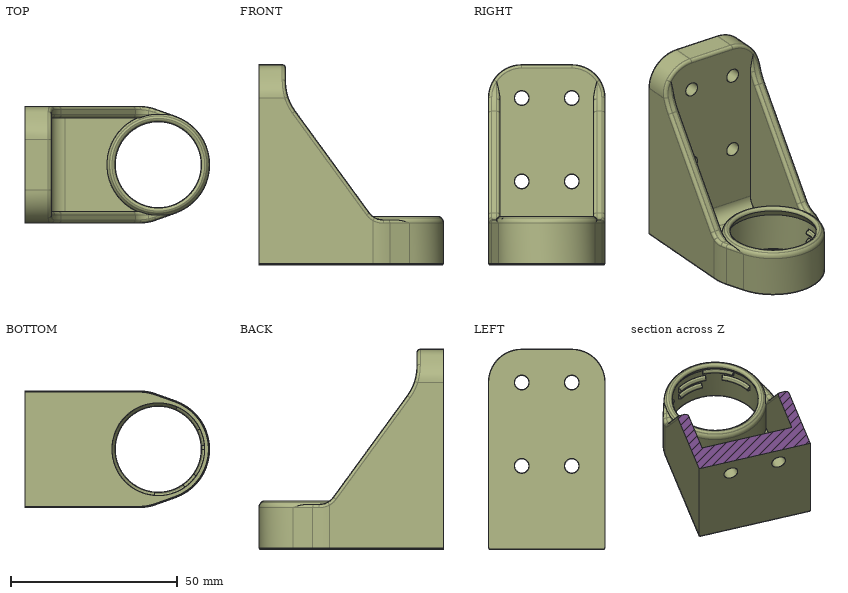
import cadquery as cq
import math

PLATE_WIDTH = 35.0
PLATE_HEIGHT = 60.0
PLATE_THICKNESS = 8.0
PLATE_CORNER_RADIUS = 10.0
HOLE_DIAMETER = 4.3
HOLE_SPACING_Y = 15.0
HOLE_HEIGHTS = (25.0, 50.0)

WALL_THICKNESS = 3.5
WALL_LOW_HEIGHT = 13.5
SLOPE_TOP_Z = 50.0
SLOPE_FOOT_X = 34.6
SLOPE_TOP_RADIUS = 15.0
SLOPE_FOOT_RADIUS = 5.0
FLOOR_THICKNESS = 3.0
FLOOR_FILLET = 4.0
EDGE_FILLET = 1.0
BASE_CHAMFER = 0.35

RING_X = 40.0
RING_RADIUS = 15.4
BORE_DIAMETER = 27.8
BORE_RADIUS = BORE_DIAMETER / 2
LIP_INNER_DIAMETER = 25.8
TAPER_X = 36.8
TAPER_BLEND_RADIUS = 15.0
RING_SHOULDER_Z = 12.5
RING_SHOULDER_RADIUS = 2.0
RING_SHOULDER_END_RADIUS = 14.65
LIP_INNER_RADIUS = LIP_INNER_DIAMETER / 2
LIP_ROUND = BORE_RADIUS - LIP_INNER_RADIUS
LIP_TOP_Z = 14.5
LIP_ROUND_Z = LIP_TOP_Z - LIP_ROUND
LIP_UNDERSIDE_Z = 11.6

RIB_TIP_RADIUS = LIP_INNER_RADIUS
RIB_HEIGHT = 2.0
RIB_SLOPE_DROP = 0.4
RIB_SLOPE_DEPTH = 0.6
RIB_ROOT_OVERLAP = 0.5
RIB_PITCH = 3.0
LOW_RIB_TOP = 6.4
MIDDLE_RIB_TOP = LOW_RIB_TOP + RIB_PITCH
HIGH_RIB_TOP = MIDDLE_RIB_TOP + RIB_PITCH
RIBS = (
    (LOW_RIB_TOP, 0.0, 35.0),
    (MIDDLE_RIB_TOP, -5.0, 35.0),
    (LOW_RIB_TOP, 55.0, 95.0),
    (MIDDLE_RIB_TOP, 55.0, 95.0),
    (HIGH_RIB_TOP, -41.0, -1.0),
    (MIDDLE_RIB_TOP, -66.0, -26.0),
)

HALF_WIDTH = PLATE_WIDTH / 2
POCKET_WIDTH = PLATE_WIDTH - 2 * WALL_THICKNESS


def make_half_footprint():
    """Plan outline of the +Y half: a straight side that tapers tangentially into the ring."""
    to_ring = RING_X - TAPER_X
    distance = math.hypot(to_ring, HALF_WIDTH)
    touch_angle = math.atan2(HALF_WIDTH, -to_ring) - math.acos(RING_RADIUS / distance)

    def ring_point(angle):
        return (RING_X + RING_RADIUS * math.cos(angle), RING_RADIUS * math.sin(angle))

    taper_corner = cq.NearestToPointSelector((TAPER_X, HALF_WIDTH, PLATE_HEIGHT / 2))
    return (
        cq.Workplane("XY")
        .lineTo(RING_X + RING_RADIUS, 0)
        .threePointArc(ring_point(touch_angle / 2), ring_point(touch_angle))
        .lineTo(TAPER_X, HALF_WIDTH)
        .lineTo(0, HALF_WIDTH)
        .close()
        .extrude(PLATE_HEIGHT)
        .edges("|Z")
        .edges(taper_corner)
        .fillet(TAPER_BLEND_RADIUS)
    )


def make_side_profile():
    """Side outline: upright plate, sloping wall and low wall around the ring."""
    reach = RING_X + RING_RADIUS
    profile = (
        cq.Workplane("XZ")
        .polyline(
            [
                (0, 0),
                (reach, 0),
                (reach, WALL_LOW_HEIGHT),
                (SLOPE_FOOT_X, WALL_LOW_HEIGHT),
                (PLATE_THICKNESS, SLOPE_TOP_Z),
                (PLATE_THICKNESS, PLATE_HEIGHT),
                (0, PLATE_HEIGHT),
            ]
        )
        .close()
        .extrude(HALF_WIDTH, both=True)
    )
    slope_top = cq.NearestToPointSelector((PLATE_THICKNESS, 0, SLOPE_TOP_Z))
    slope_foot = cq.NearestToPointSelector((SLOPE_FOOT_X, 0, WALL_LOW_HEIGHT))
    profile = profile.edges("|Y").edges(slope_top).fillet(SLOPE_TOP_RADIUS)
    return profile.edges("|Y").edges(slope_foot).fillet(SLOPE_FOOT_RADIUS)


def make_front_profile():
    """Plate outline across the width, with rounded top corners."""
    return (
        cq.Workplane("XY")
        .box(RING_X + RING_RADIUS, PLATE_WIDTH, PLATE_HEIGHT, centered=(False, True, False))
        .edges("|X and >Z")
        .fillet(PLATE_CORNER_RADIUS)
    )


def make_pocket():
    """Open space between the side walls, rounded where the plate meets the floor."""
    return (
        cq.Workplane("XY")
        .box(
            RING_X - PLATE_THICKNESS,
            POCKET_WIDTH,
            PLATE_HEIGHT,
            centered=(False, True, False),
        )
        .translate((PLATE_THICKNESS, 0, FLOOR_THICKNESS))
        .edges("|Y and <X and <Z")
        .fillet(FLOOR_FILLET)
    )


def make_bracket():
    """Plate, walls and floor with rounded rims, built as one half and mirrored."""
    half = make_half_footprint().intersect(make_side_profile()).intersect(make_front_profile())
    half = half.faces("<Z").edges("not (<X or <Y)").chamfer(BASE_CHAMFER)
    slope_middle_x = (PLATE_THICKNESS + SLOPE_FOOT_X) / 2
    slope_middle_z = (SLOPE_TOP_Z + WALL_LOW_HEIGHT) / 2

    outer_edge = cq.NearestToPointSelector((slope_middle_x, HALF_WIDTH, slope_middle_z))
    half = half.edges(outer_edge).fillet(EDGE_FILLET)

    inner_edge = cq.NearestToPointSelector((slope_middle_x, POCKET_WIDTH / 2, slope_middle_z))
    half = half.cut(make_pocket()).edges(inner_edge).fillet(EDGE_FILLET)
    return half.union(half.mirror("XZ"))


def make_ring():
    """Ring wall whose top curls over into a rounded inward lip."""
    shoulder_center_radius = RING_RADIUS - RING_SHOULDER_RADIUS
    shoulder_angle = math.acos(
        (RING_SHOULDER_END_RADIUS - shoulder_center_radius) / RING_SHOULDER_RADIUS
    )
    shoulder_end_z = RING_SHOULDER_Z + RING_SHOULDER_RADIUS * math.sin(shoulder_angle)
    shoulder_middle = (
        shoulder_center_radius + RING_SHOULDER_RADIUS * math.cos(shoulder_angle / 2),
        RING_SHOULDER_Z + RING_SHOULDER_RADIUS * math.sin(shoulder_angle / 2),
    )
    lip_middle = (
        BORE_RADIUS - LIP_ROUND * math.cos(math.pi / 4),
        LIP_ROUND_Z + LIP_ROUND * math.sin(math.pi / 4),
    )
    return (
        cq.Workplane("XZ")
        .moveTo(BORE_RADIUS, 0)
        .lineTo(BORE_RADIUS, LIP_UNDERSIDE_Z)
        .lineTo(LIP_INNER_RADIUS, LIP_ROUND_Z)
        .threePointArc(lip_middle, (BORE_RADIUS, LIP_TOP_Z))
        .tangentArcPoint((RING_SHOULDER_END_RADIUS, shoulder_end_z), relative=False)
        .threePointArc(shoulder_middle, (RING_RADIUS, RING_SHOULDER_Z))
        .lineTo(RING_RADIUS, BASE_CHAMFER)
        .lineTo(RING_RADIUS - BASE_CHAMFER, 0)
        .close()
        .revolve(360, (0, 0, 0), (0, 1, 0))
        .translate((RING_X, 0, 0))
    )


def make_rib(top_z, start_angle, end_angle):
    """Grip rib on the bore with sloping flanks and a rounded nose."""
    root_radius = BORE_RADIUS + RIB_ROOT_OVERLAP
    nose_start_radius = BORE_RADIUS - RIB_SLOPE_DEPTH
    return (
        cq.Workplane("XZ")
        .moveTo(root_radius, top_z)
        .lineTo(BORE_RADIUS, top_z)
        .lineTo(nose_start_radius, top_z - RIB_SLOPE_DROP)
        .threePointArc(
            (RIB_TIP_RADIUS, top_z - RIB_HEIGHT / 2),
            (nose_start_radius, top_z - RIB_HEIGHT + RIB_SLOPE_DROP),
        )
        .lineTo(BORE_RADIUS, top_z - RIB_HEIGHT)
        .lineTo(root_radius, top_z - RIB_HEIGHT)
        .close()
        .revolve(end_angle - start_angle, (0, 0, 0), (0, 1, 0))
        .rotate((0, 0, 0), (0, 0, 1), start_angle)
        .translate((RING_X, 0, 0))
    )


def make_mounting_holes():
    """Screw holes through the plate."""
    centers = [(side * HOLE_SPACING_Y / 2, z) for side in (-1, 1) for z in HOLE_HEIGHTS]
    return cq.Workplane("YZ").pushPoints(centers).circle(HOLE_DIAMETER / 2).extrude(PLATE_THICKNESS)


bore = cq.Workplane("XY").center(RING_X, 0).circle(BORE_RADIUS).extrude(PLATE_HEIGHT)

result = make_bracket().cut(bore).union(make_ring()).cut(make_mounting_holes())
for rib_top, rib_start, rib_end in RIBS:
    result = result.union(make_rib(rib_top, rib_start, rib_end))